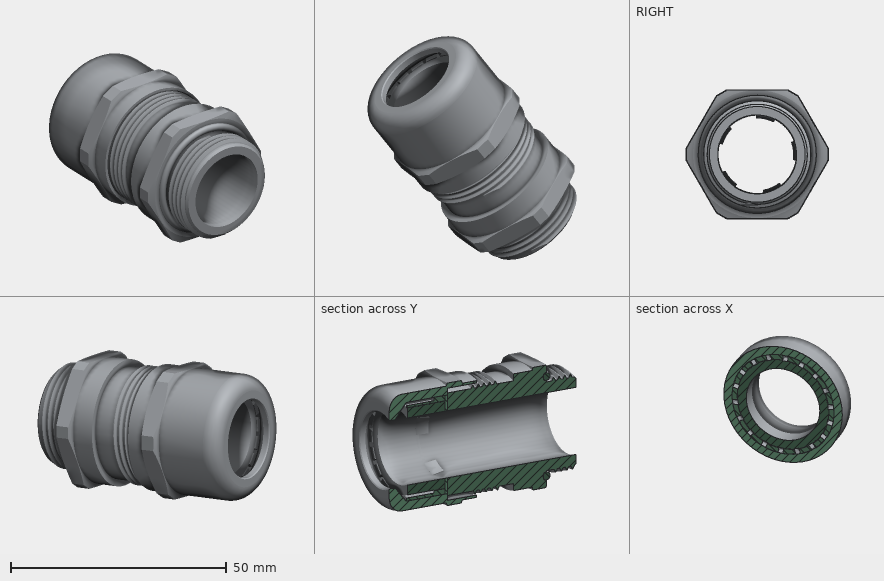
import cadquery as cq
import math

total_length = 50.65
barrel_diameter = 29.75
hex_across_flats = 30.0
bore_diameter = 18.25

cap_length = 23.8
cap_edge_radius = 3.55
cap_mouth_diameter = 18.9
cap_lip_diameter = 18.45
cap_lip_depth = 1.65
cap_cavity_diameter = 25.35
cap_thread_bore = 28.45
cap_hex_start = 15.45
cap_hex_end = 19.85
cap_hex_across_corners = 32.7
cap_hex_chamfer = 0.6

insert_start = 4.65
insert_slot_end = 12.15
insert_inner_diameter = 22.8
slot_count = 18
slot_width = 1.1
slot_phase = 12.7
seal_start = 4.9
ring_start = 15.2
ring_thickness = 0.75
tongue_count = 5
tongue_span = 27.5
tongue_phase = 30.5
tongue_tip_diameter = 16.9
tongue_length = 3.05
tongue_thickness = 0.3

sleeve_diameter = 26.5
collar_start = 33.65
body_hex_start = 38.7
body_hex_end = 42.7
body_hex_across_corners = 33.05
body_hex_chamfer = 0.4
spigot_diameter = 23.25
spigot_chamfer = 0.5

o_ring_section_radius = 0.9
o_ring_middle_radius = 12.8

thread_pitch = 1.5
thread_base_width = 0.95
thread_crest_width = 0.15
thread_root_overlap = 0.2
sleeve_crest_diameter = 28.05
sleeve_thread_end = 29.45
sleeve_thread_turns = 4.5
spigot_crest_diameter = 24.85
spigot_thread_end = 49.75
spigot_thread_turns = 3.5
thread_end_height = 0.15

ring_end = ring_start + ring_thickness


def cylinder(start, end, diameter):
    """Solid cylinder about the X axis."""
    return cq.Workplane("YZ").workplane(offset=start).circle(diameter / 2).extrude(end - start)


def turned(points):
    """Solid of revolution about the X axis from (x, radius) points."""
    return cq.Workplane("XY").polyline(points).close().revolve(360, (0, 0, 0), (1, 0, 0))


def hexagonal_prism(start, end, across_flats):
    """Hexagonal prism along X with flats facing up and down."""
    across_points = across_flats / math.cos(math.radians(30))
    return cq.Workplane("YZ").workplane(offset=start).polygon(6, across_points).extrude(end - start)


def hexagon(start, end, across_corners, chamfer):
    """Wrench hexagon with its corners cut flat and both ends chamfered by a cone."""
    prism = hexagonal_prism(start, end, hex_across_flats)
    corner_cut = hexagonal_prism(start, end, across_corners).rotate((0, 0, 0), (1, 0, 0), 30)
    corner_radius = across_corners / 2
    end_radius = barrel_diameter / 2
    chamfer_slope = (corner_radius - end_radius) / chamfer
    middle = (start + end) / 2
    middle_radius = end_radius + chamfer_slope * (middle - start)
    cones = turned([
        (start, 0),
        (start, end_radius),
        (middle, middle_radius),
        (end, end_radius),
        (end, 0),
    ])
    return prism.intersect(corner_cut).intersect(cones)


def thread_ridge(end, turns, root_diameter, crest_diameter):
    """Right-hand ridge that starts at the top, ends at the bottom and is cut flat at both ends."""
    height = turns * thread_pitch
    root_radius = root_diameter / 2
    base_radius = root_radius - thread_root_overlap
    crest_radius = crest_diameter / 2
    flank_slope = (thread_base_width - thread_crest_width) / 2 / (crest_radius - root_radius)
    base_half = thread_base_width / 2 + thread_root_overlap * flank_slope
    crest_half = thread_crest_width / 2
    path = cq.Wire.makeHelix(thread_pitch, height, base_radius)
    ridge = (
        cq.Workplane("XZ")
        .polyline([
            (base_radius, -base_half),
            (crest_radius, -crest_half),
            (crest_radius, crest_half),
            (base_radius, base_half),
        ])
        .close()
        .sweep(cq.Workplane(obj=path), isFrenet=True)
    )
    flat_radius = root_radius + thread_end_height
    cutter = cq.Workplane("XY").box(
        crest_radius, crest_diameter, thread_pitch, centered=(False, True, True)
    )
    ridge = ridge.cut(cutter.translate((flat_radius, 0, 0)))
    ridge = ridge.cut(cutter.translate((-flat_radius - crest_radius, 0, height)))
    ridge = ridge.rotate((0, 0, 0), (0, 1, 0), 90).rotate((0, 0, 0), (1, 0, 0), 180)
    return ridge.translate((end - height, 0, 0))


def make_cap_nut():
    """Domed nut whose cavity widens behind the lip to press on the clamping insert."""
    barrel = cylinder(0, cap_length, barrel_diameter).faces("<X").edges().fillet(cap_edge_radius)
    nut = barrel.union(hexagon(cap_hex_start, cap_hex_end, cap_hex_across_corners, cap_hex_chamfer))
    mouth_chamfer = (cap_mouth_diameter - cap_lip_diameter) / 2
    hollow = turned([
        (0, 0),
        (0, cap_mouth_diameter / 2),
        (mouth_chamfer, cap_lip_diameter / 2),
        (cap_lip_depth, cap_lip_diameter / 2),
        (insert_start, cap_cavity_diameter / 2),
        (ring_end, cap_cavity_diameter / 2),
        (ring_end, cap_thread_bore / 2),
        (cap_length, cap_thread_bore / 2),
        (cap_length, 0),
    ])
    return nut.cut(hollow)


def make_clamping_insert():
    """Sleeve around the seal, slit into lamellae from its front end."""
    insert = cylinder(insert_start, ring_start, cap_cavity_diameter)
    insert = insert.cut(cylinder(insert_start, ring_start, insert_inner_diameter))
    slot = cq.Workplane("XY").box(
        insert_slot_end - insert_start, cap_cavity_diameter, slot_width, centered=(False, False, True)
    ).translate((insert_start, 0, 0))
    for i in range(slot_count):
        angle = 180 - slot_phase - i * 360 / slot_count
        insert = insert.cut(slot.rotate((0, 0, 0), (1, 0, 0), angle))
    return insert


def make_seal():
    """Plain sealing sleeve inside the clamping insert."""
    seal = cylinder(seal_start, ring_start, insert_inner_diameter)
    return seal.cut(cylinder(seal_start, ring_start, bore_diameter))


def make_contact_ring():
    """Flat ring with tongues that lean into the bore."""
    ring = cylinder(ring_start, ring_end, cap_cavity_diameter)
    ring = ring.cut(cylinder(ring_start, ring_end, bore_diameter))
    bore_radius = bore_diameter / 2
    tip_radius = tongue_tip_diameter / 2
    tongue = (
        cq.Workplane("XY")
        .polyline([
            (ring_start, bore_radius),
            (ring_start + tongue_length, tip_radius),
            (ring_start + tongue_length, tip_radius + tongue_thickness),
            (ring_end, bore_radius),
            (ring_end, bore_radius + tongue_thickness),
            (ring_start, bore_radius + tongue_thickness),
        ])
        .close()
        .revolve(tongue_span, (0, 0, 0), (1, 0, 0))
    )
    for i in range(tongue_count):
        middle = 180 - tongue_phase - i * 360 / tongue_count
        ring = ring.union(tongue.rotate((0, 0, 0), (1, 0, 0), middle - tongue_span / 2))
    return ring


def make_o_ring():
    """Round-section ring centred on the hexagon end face, half sunk into it."""
    torus = cq.Solid.makeTorus(
        o_ring_middle_radius,
        o_ring_section_radius,
        cq.Vector(body_hex_end, 0, 0),
        cq.Vector(1, 0, 0),
    )
    return cq.Workplane(obj=torus)


def make_body(o_ring):
    """Threaded sleeve, collar, hexagon and threaded spigot with a seat for the O-ring."""
    body = cylinder(ring_end, collar_start, sleeve_diameter)
    body = body.union(cylinder(collar_start, body_hex_end, barrel_diameter))
    body = body.union(hexagon(body_hex_start, body_hex_end, body_hex_across_corners, body_hex_chamfer))
    spigot = cylinder(body_hex_end, total_length, spigot_diameter)
    body = body.union(spigot.faces(">X").edges().chamfer(spigot_chamfer))
    body = body.cut(cylinder(ring_end, total_length, bore_diameter)).cut(o_ring)
    body = body.union(
        thread_ridge(sleeve_thread_end, sleeve_thread_turns, sleeve_diameter, sleeve_crest_diameter)
    )
    return body.union(
        thread_ridge(spigot_thread_end, spigot_thread_turns, spigot_diameter, spigot_crest_diameter)
    )


cap_nut = make_cap_nut()
clamping_insert = make_clamping_insert()
seal = make_seal()
contact_ring = make_contact_ring()
o_ring = make_o_ring()
body = make_body(o_ring)

result = cq.Compound.makeCompound([
    cap_nut.val(),
    clamping_insert.val(),
    seal.val(),
    contact_ring.val(),
    body.val(),
    o_ring.val(),
])